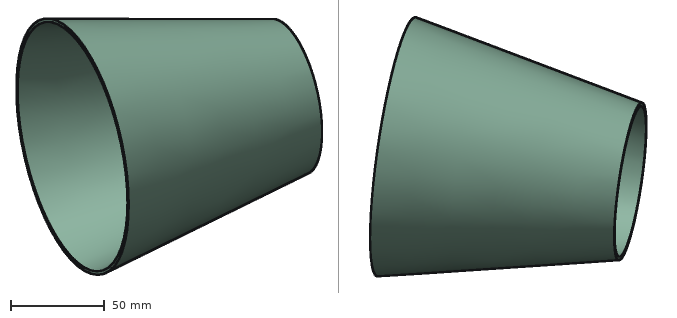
import cadquery as cq

large_diameter = 139.7
small_diameter = 85.0
length = 127.0
wall = 2.0

large_radius = large_diameter / 2
small_radius = small_diameter / 2

wall_section = (
    cq.Workplane("XY")
    .moveTo(large_radius - wall, 0)
    .lineTo(large_radius, 0)
    .lineTo(small_radius, length)
    .lineTo(small_radius - wall, length)
    .close()
)

result = wall_section.revolve(360, (0, 0, 0), (0, 1, 0))